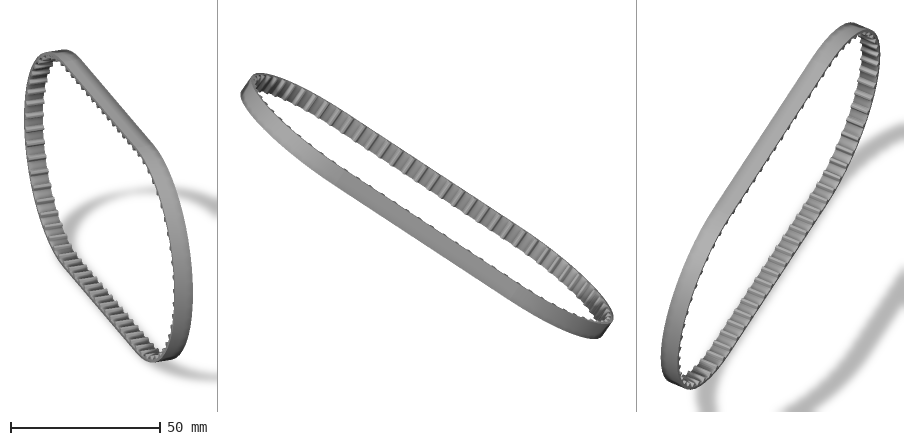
import cadquery as cq
import math

belt_length = 147.0
belt_width = 6.3
root_radius = 37.0
backing_thickness = 1.06

tooth_count = 75
tooth_height = 1.25
tooth_root_width = 2.0
flank_angle = 25
tip_radius = 0.4
root_fillet_radius = 0.4

outer_radius = root_radius + backing_thickness
straight_length = belt_length - 2 * outer_radius
half_straight = straight_length / 2
arc_length = math.pi * root_radius
half_loop_length = straight_length + arc_length
tooth_pitch = 2 * half_loop_length / tooth_count
tooth_tip_width = tooth_root_width - 2 * tooth_height * math.tan(math.radians(flank_angle))

foot_width = tooth_root_width + 4 * root_fillet_radius
foot_depth = backing_thickness / 2


def make_slot(radius):
    """Solid with straight runs and round ends, as deep in Y as the belt is wide."""
    outline = cq.Workplane("XZ").slot2D(straight_length + 2 * radius, 2 * radius)
    return outline.extrude(belt_width / 2, both=True)


def make_tooth():
    """Tapered tooth pointing along +Z, with its root centred on the origin."""
    tip = (tooth_tip_width / 2, tooth_height)
    root = (tooth_root_width / 2, 0)
    foot_top = (foot_width / 2, 0)
    foot_bottom = (foot_width / 2, -foot_depth)
    right_side = [tip, root, foot_top, foot_bottom]
    left_side = [(-x, z) for x, z in reversed(right_side)]
    block = cq.Workplane("XZ").polyline(right_side + left_side).close().extrude(belt_width / 2, both=True)
    rounded = block.faces(">Z").edges("|Y").fillet(tip_radius)
    root_edges = cq.selectors.BoxSelector(
        (-root[0] - root_fillet_radius / 2, -belt_width, -foot_depth / 2),
        (root[0] + root_fillet_radius / 2, belt_width, foot_depth / 2),
    )
    return rounded.edges("|Y").edges(root_edges).fillet(root_fillet_radius)


def root_position(distance):
    """X, Z and turning angle (degrees) on the root line, counter-clockwise from the bottom centre."""
    halves_passed, along = divmod(distance + half_straight, half_loop_length)
    turn = max(0.0, along - straight_length) / root_radius
    x = min(along, straight_length) - half_straight + root_radius * math.sin(turn)
    z = -root_radius * math.cos(turn)
    if halves_passed == 1:
        return -x, -z, math.degrees(turn) + 180
    return x, z, math.degrees(turn)


def place_tooth(tooth, distance):
    """Stand the tooth on the root line, pointing into the loop."""
    x, z, angle = root_position(distance)
    turned = tooth.rotate((0, 0, 0), (0, 1, 0), -angle)
    return turned.translate((x, 0, z)).val()


backing = make_slot(outer_radius).cut(make_slot(root_radius))
tooth = make_tooth()
teeth = [place_tooth(tooth, index * tooth_pitch) for index in range(tooth_count)]
result = cq.Workplane(backing.val().fuse(*teeth)).clean()